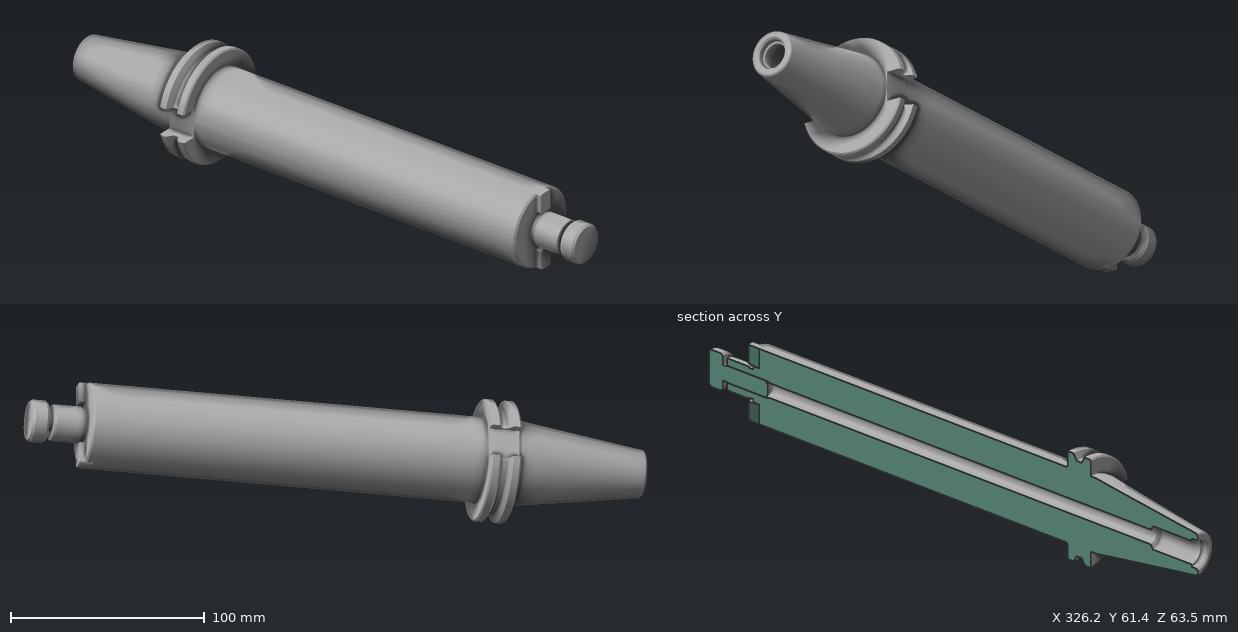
import cadquery as cq
import math

GAUGE_DIA = 44.45
TAPER_LENGTH = 68.25
TAPER_RATE = 7 / 24
NOSE_FACE_X = 228.6
OVERALL_END_X = 258.0

TAPER_END_RADIUS = (GAUGE_DIA - TAPER_LENGTH * TAPER_RATE) / 2
TAPER_END_FILLET = 1.8

FLANGE_DIA = 63.5
FLANGE_START_X = 3.175
FLANGE_END_X = 19.05
FLANGE_CHAMFER = 0.8
FLANGE_ROOT_FILLET = 1.0
GROOVE_CENTRE_X = 11.1
GROOVE_BOTTOM_DIA = 56.0
GROOVE_BOTTOM_WIDTH = 3.0
GROOVE_FLANK_ANGLE = 30
DRIVE_SLOT_WIDTH = 16.3
DRIVE_SLOT_FLOOR_FRONT = 22.2
DRIVE_SLOT_FLOOR_BACK = 25.0

STUD_PILOT_DIA = 16.3
STUD_PILOT_DEPTH = 4.0
STUD_THREAD_DIA = 13.39
STUD_THREAD_DEPTH = 30.0
STUD_MOUTH_CHAMFER = 1.0
STUD_DRILL_POINT_ANGLE = 118
THROUGH_BORE_DIA = 8.38

SHANK_DIA = GAUGE_DIA
NOSE_CHAMFER = 1.0
PILOT_DIA = 19.05
PILOT_LENGTH = 17.45
PILOT_END_CHAMFER_LENGTH = 1.3
PILOT_END_CHAMFER_DEPTH = 0.25
UNDERCUT_DIA = 17.6
UNDERCUT_WIDTH = 2.5

KEY_WIDTH = 8.0
KEY_LENGTH = 7.0
KEY_PROJECTION = 3.1
KEY_INNER_RADIUS = 10.8
KEY_OUTER_RADIUS = SHANK_DIA / 2
KEY_CHAMFER = 0.7
KEY_COUNT = 2
KEY_START_X = NOSE_FACE_X + KEY_PROJECTION - KEY_LENGTH

SCREW_SHANK_DIA = 9.53
SCREW_SHANK_LENGTH = 30.0
SCREW_TIP_CHAMFER = 1.3
SCREW_HEAD_DIA = 22.0
SCREW_HEAD_LENGTH = 9.1
SCREW_HEAD_CHAMFER_LENGTH = 1.35
SCREW_HEAD_CHAMFER_DEPTH = 1.0
SCREW_HEAD_START_X = OVERALL_END_X - SCREW_HEAD_LENGTH
SCREW_TIP_X = SCREW_HEAD_START_X - SCREW_SHANK_LENGTH


def turned(profile):
    """Revolve a closed (x, radius) profile about the X axis."""
    return cq.Workplane("XY").polyline(profile).close().revolve(360, (0, 0, 0), (1, 0, 0))


def rod(start_x, end_x, diameter):
    """Plain cylinder on the X axis."""
    return cq.Workplane("YZ", origin=(start_x, 0, 0)).circle(diameter / 2).extrude(end_x - start_x)


def holder_blank():
    """Taper, flange and shank with the pilot, turned as one piece."""
    taper_half_angle = math.atan(TAPER_RATE / 2)
    tangent_length = TAPER_END_FILLET * math.tan((math.pi / 2 - taper_half_angle) / 2)
    end_fillet_x = -TAPER_LENGTH + tangent_length * math.cos(taper_half_angle)
    end_fillet_radius = TAPER_END_RADIUS + tangent_length * math.sin(taper_half_angle)
    gauge_radius = GAUGE_DIA / 2
    flange_radius = FLANGE_DIA / 2
    shank_radius = SHANK_DIA / 2
    groove_radius = GROOVE_BOTTOM_DIA / 2
    bottom_half = GROOVE_BOTTOM_WIDTH / 2
    flank_run = (flange_radius - groove_radius) * math.tan(math.radians(GROOVE_FLANK_ANGLE))
    top_half = bottom_half + flank_run
    fillet_offset = FLANGE_ROOT_FILLET * (1 - math.sqrt(0.5))
    pilot_end_x = NOSE_FACE_X + PILOT_LENGTH
    undercut_end_x = NOSE_FACE_X + UNDERCUT_WIDTH
    return (
        cq.Workplane("XY")
        .moveTo(-TAPER_LENGTH, 0)
        .lineTo(-TAPER_LENGTH, TAPER_END_RADIUS - tangent_length)
        .tangentArcPoint((end_fillet_x, end_fillet_radius), relative=False)
        .lineTo(0, gauge_radius)
        .lineTo(FLANGE_START_X, gauge_radius)
        .lineTo(FLANGE_START_X, flange_radius - FLANGE_CHAMFER)
        .lineTo(FLANGE_START_X + FLANGE_CHAMFER, flange_radius)
        .lineTo(GROOVE_CENTRE_X - top_half, flange_radius)
        .lineTo(GROOVE_CENTRE_X - bottom_half, groove_radius)
        .lineTo(GROOVE_CENTRE_X + bottom_half, groove_radius)
        .lineTo(GROOVE_CENTRE_X + top_half, flange_radius)
        .lineTo(FLANGE_END_X - FLANGE_CHAMFER, flange_radius)
        .lineTo(FLANGE_END_X, flange_radius - FLANGE_CHAMFER)
        .lineTo(FLANGE_END_X, shank_radius + FLANGE_ROOT_FILLET)
        .threePointArc(
            (FLANGE_END_X + fillet_offset, shank_radius + fillet_offset),
            (FLANGE_END_X + FLANGE_ROOT_FILLET, shank_radius),
        )
        .lineTo(NOSE_FACE_X - NOSE_CHAMFER, shank_radius)
        .lineTo(NOSE_FACE_X, shank_radius - NOSE_CHAMFER)
        .lineTo(NOSE_FACE_X, UNDERCUT_DIA / 2)
        .lineTo(undercut_end_x, UNDERCUT_DIA / 2)
        .lineTo(undercut_end_x, PILOT_DIA / 2)
        .lineTo(pilot_end_x - PILOT_END_CHAMFER_LENGTH, PILOT_DIA / 2)
        .lineTo(pilot_end_x, PILOT_DIA / 2 - PILOT_END_CHAMFER_DEPTH)
        .lineTo(pilot_end_x, 0)
        .close()
        .revolve(360, (0, 0, 0), (1, 0, 0))
    )


def drive_slot(side, floor_distance):
    """Cutter for one flange slot; side is -1 for -Y and +1 for +Y."""
    slot_end_x = FLANGE_END_X + FLANGE_ROOT_FILLET
    slot_depth = FLANGE_DIA / 2 - floor_distance
    return cq.Workplane("XY").box(
        slot_end_x - FLANGE_START_X, slot_depth, DRIVE_SLOT_WIDTH, centered=(False, True, True)
    ).translate((FLANGE_START_X, side * (floor_distance + slot_depth / 2), 0))


def stud_hole():
    """Stepped hole for the retention stud, its drill point running into the bore that meets the screw."""
    mouth_x = -TAPER_LENGTH
    pilot_radius = STUD_PILOT_DIA / 2
    thread_radius = STUD_THREAD_DIA / 2
    bore_radius = THROUGH_BORE_DIA / 2
    thread_end_x = mouth_x + STUD_THREAD_DEPTH
    cone_length = (thread_radius - bore_radius) / math.tan(math.radians(STUD_DRILL_POINT_ANGLE / 2))
    return turned([
        (mouth_x, 0),
        (mouth_x, pilot_radius + STUD_MOUTH_CHAMFER),
        (mouth_x + STUD_MOUTH_CHAMFER, pilot_radius),
        (mouth_x + STUD_PILOT_DEPTH, pilot_radius),
        (mouth_x + STUD_PILOT_DEPTH, thread_radius),
        (thread_end_x, thread_radius),
        (thread_end_x + cone_length, bore_radius),
        (SCREW_TIP_X, bore_radius),
        (SCREW_TIP_X, 0),
    ])


def drive_key(index):
    """One rectangular key with chamfered long edges, turned about X to its seat in the nose face."""
    key_height = KEY_OUTER_RADIUS - KEY_INNER_RADIUS
    key = cq.Workplane("XY").box(KEY_LENGTH, KEY_WIDTH, key_height, centered=(False, True, False))
    key = key.edges("|X").chamfer(KEY_CHAMFER)
    key = key.translate((KEY_START_X, 0, KEY_INNER_RADIUS))
    return key.rotate((0, 0, 0), (1, 0, 0), index * 360 / KEY_COUNT)


def key_seat(index):
    """Cutter for one key seat, open through the shank surface."""
    seat = cq.Workplane("XY").box(
        KEY_LENGTH, KEY_WIDTH, KEY_OUTER_RADIUS, centered=(False, True, False)
    ).translate((KEY_START_X, 0, KEY_INNER_RADIUS))
    return seat.rotate((0, 0, 0), (1, 0, 0), index * 360 / KEY_COUNT)


def lock_screw():
    """Round-headed screw on the axis, threaded into the pilot."""
    head_radius = SCREW_HEAD_DIA / 2
    shank_radius = SCREW_SHANK_DIA / 2
    rim_radius = head_radius - SCREW_HEAD_CHAMFER_DEPTH
    return turned([
        (SCREW_TIP_X, 0),
        (SCREW_TIP_X, shank_radius - SCREW_TIP_CHAMFER),
        (SCREW_TIP_X + SCREW_TIP_CHAMFER, shank_radius),
        (SCREW_HEAD_START_X, shank_radius),
        (SCREW_HEAD_START_X, rim_radius),
        (SCREW_HEAD_START_X + SCREW_HEAD_CHAMFER_LENGTH, head_radius),
        (OVERALL_END_X - SCREW_HEAD_CHAMFER_LENGTH, head_radius),
        (OVERALL_END_X, rim_radius),
        (OVERALL_END_X, 0),
    ])


holder = holder_blank()
holder = holder.cut(drive_slot(-1, DRIVE_SLOT_FLOOR_FRONT))
holder = holder.cut(drive_slot(1, DRIVE_SLOT_FLOOR_BACK))
holder = holder.cut(stud_hole())
holder = holder.cut(rod(SCREW_TIP_X, OVERALL_END_X, SCREW_SHANK_DIA))
for key_index in range(KEY_COUNT):
    holder = holder.cut(key_seat(key_index))

keys = [drive_key(key_index) for key_index in range(KEY_COUNT)]
screw = lock_screw()

result = cq.Compound.makeCompound([holder.val(), *[key.val() for key in keys], screw.val()])